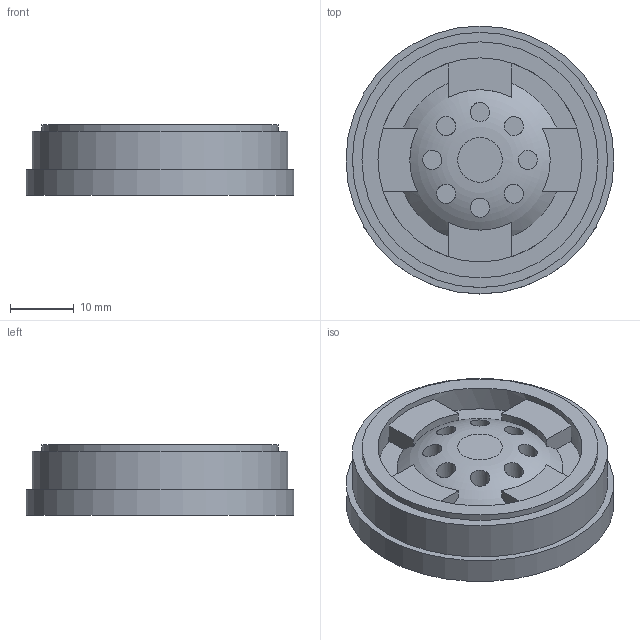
import cadquery as cq
import math

flange_radius = 21.0
flange_top = 4.0
body_radius = 20.0
body_top = 10.0
lip_radius = 18.5
total_height = 11.0

recess_radius = 16.0
recess_floor = 7.0
dome_base_radius = 13.0
dome_flat_radius = 3.5

tab_count = 4
tab_width = 10.0
tab_inner_radius = 11.0
tab_top = 10.0

hole_count = 8
hole_diameter = 3.0
hole_circle_radius = 7.5
hole_floor = recess_floor


def make_body():
    """Revolve the stepped outside, the recess and the dome as one profile."""
    dome_height = total_height - recess_floor
    dome_run = dome_base_radius - dome_flat_radius
    arc_radius = (dome_run**2 + dome_height**2) / (2 * dome_height)
    half_angle = math.asin(dome_run / arc_radius) / 2
    mid_radius = dome_flat_radius + arc_radius * math.sin(half_angle)
    mid_height = total_height - arc_radius * (1 - math.cos(half_angle))
    return (
        cq.Workplane("XZ")
        .lineTo(flange_radius, 0)
        .lineTo(flange_radius, flange_top)
        .lineTo(body_radius, flange_top)
        .lineTo(body_radius, body_top)
        .lineTo(lip_radius, body_top)
        .lineTo(lip_radius, total_height)
        .lineTo(recess_radius, total_height)
        .lineTo(recess_radius, recess_floor)
        .lineTo(dome_base_radius, recess_floor)
        .threePointArc((mid_radius, mid_height), (dome_flat_radius, total_height))
        .lineTo(0, total_height)
        .close()
        .revolve(360, (0, 0, 0), (0, 1, 0))
    )


def make_tabs():
    """Ring sectors with parallel sides, one on each of the X and Y half-axes."""
    tab_height = tab_top - recess_floor
    ring_outer_radius = (recess_radius + lip_radius) / 2
    ring = (
        cq.Workplane("XY", origin=(0, 0, recess_floor))
        .circle(ring_outer_radius)
        .circle(tab_inner_radius)
        .extrude(tab_height)
    )
    bars = cq.Workplane("XY", origin=(0, 0, recess_floor))
    bar_length = 2 * ring_outer_radius
    cross = bars.rect(bar_length, tab_width).extrude(tab_height)
    cross = cross.union(bars.rect(tab_width, bar_length).extrude(tab_height))
    return ring.intersect(cross)


def make_holes():
    """Blind vertical holes evenly spaced around the dome."""
    return (
        cq.Workplane("XY", origin=(0, 0, hole_floor))
        .polarArray(hole_circle_radius, 0, 360, hole_count)
        .circle(hole_diameter / 2)
        .extrude(total_height - hole_floor)
    )


result = make_body().union(make_tabs()).cut(make_holes())